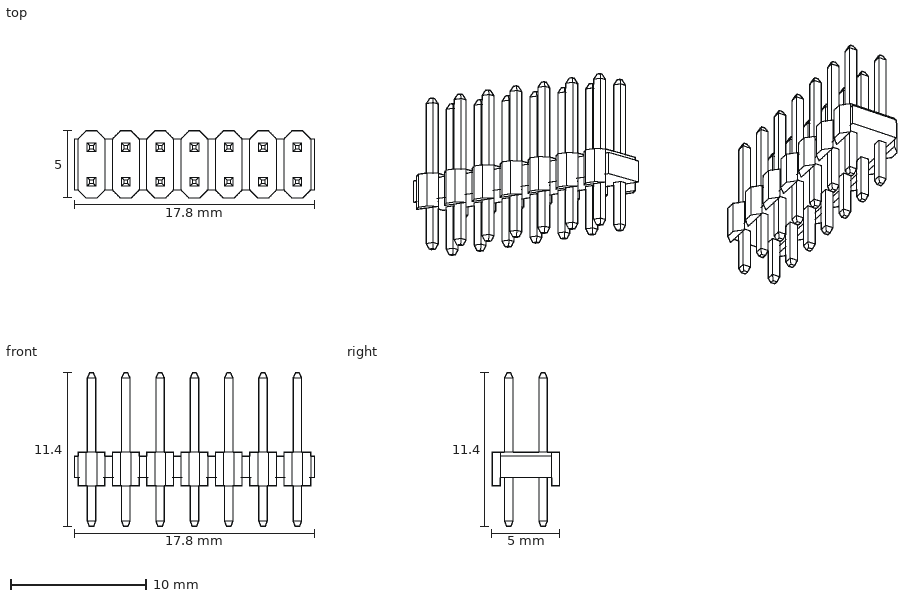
import cadquery as cq


length = 17.78
columns = 7
rows = 2
pitch = length / columns

housing_depth = 5.0
housing_height = 2.5
block_width = 2.0
block_chamfer = 0.6
bar_depth = housing_depth - 2 * block_chamfer
bar_bottom = 0.6
bar_height = 1.6

total_height = 11.4
pin_side = 0.64
tail_length = 3.0
tip_height = 0.41
upper_tip_side = 0.27
lower_tip_side = 0.34
pin_shaft_height = total_height - 2 * tip_height


def centred_positions(count):
    """Positions spaced one pitch apart and centred on zero."""
    return [(i - (count - 1) / 2) * pitch for i in range(count)]


def make_bar():
    """Continuous bar that joins the blocks."""
    return (
        cq.Workplane("XY")
        .workplane(offset=bar_bottom)
        .box(length, bar_depth, bar_height, centered=(True, True, False))
    )


def make_block():
    """Block with chamfered upright corners, one for each column of pins."""
    return (
        cq.Workplane("XY")
        .box(block_width, housing_depth, housing_height, centered=(True, True, False))
        .edges("|Z")
        .chamfer(block_chamfer)
    )


def make_channel():
    """Space under the bar, open at both ends, that leaves a foot on each side of a block."""
    return cq.Workplane("XY").box(length, bar_depth, bar_bottom, centered=(True, True, False))


def add_tip(shaft, end, tip_side):
    """Taper one end of a pin, chosen by a face selector, to a blunt pyramid."""
    tip = (
        shaft.faces(end)
        .workplane()
        .rect(pin_side, pin_side)
        .workplane(offset=tip_height)
        .rect(tip_side, tip_side)
        .loft(combine=False)
    )
    return shaft.union(tip)


def make_pin():
    """Square pin with a tip at each end, the upper one more pointed."""
    shaft = (
        cq.Workplane("XY")
        .workplane(offset=tip_height - tail_length)
        .box(pin_side, pin_side, pin_shaft_height, centered=(True, True, False))
    )
    pointed_shaft = add_tip(shaft, ">Z", upper_tip_side)
    return add_tip(pointed_shaft, "<Z", lower_tip_side)


block = make_block().cut(make_channel())
pin = make_pin()

result = make_bar()
for x in centred_positions(columns):
    result = result.union(block.translate((x, 0, 0)))
    for y in centred_positions(rows):
        result = result.union(pin.translate((x, y, 0)))